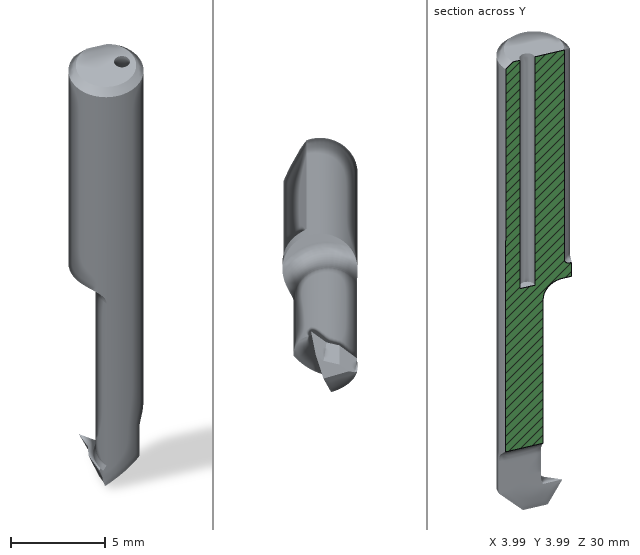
import cadquery as cq
import math

length = 30.0
shank_radius = 1.995
top_chamfer = 0.4

flat_distance = 1.5
flat_bottom_z = 16.0
flat_end_fillet = 0.25
flat_angle = 135.0

hole_radius = 0.42
hole_x = 0.63
hole_y = 0.63

shoulder_z = 15.05
neck_radius = 1.83
neck_left_x = -0.4
neck_x = neck_left_x + neck_radius
shoulder_fillet = 1.02
collar_flare = 0.12
collar_top_z = 1.8

relief_start_z = 5.7
relief_y = 1.77
relief_fillet = 0.9

tip_top_z = 1.4
tip_back_top_x = 0.57
tip_back_bottom_x = 0.93
tip_top_flank = [(-1.62, 0), (-0.78, -0.6), (-0.42, -1.2), (tip_back_top_x, -1.9)]
tip_bottom_flank = [(-0.78, 0), (-0.33, -0.3), (0.12, -1.05), (tip_back_bottom_x, -1.62)]

bevel_bottom_x = 0.63
bevel_top_z = 1.45


def shank_cylinder():
    """Full-length bar with the chamfered upper end."""
    bar = cq.Workplane("XY").circle(shank_radius).extrude(length)
    return bar.faces(">Z").chamfer(top_chamfer)


def neck_envelope():
    """Round neck, flaring up into the shoulder and down into the tip collar."""
    shoulder_radius = neck_radius + shoulder_fillet
    arc_offset = shoulder_fillet * (1 - math.sqrt(0.5))
    profile = (
        cq.Workplane("XZ")
        .moveTo(0, 0)
        .lineTo(neck_radius + collar_flare, 0)
        .lineTo(neck_radius + collar_flare, tip_top_z)
        .lineTo(neck_radius, collar_top_z)
        .lineTo(neck_radius, shoulder_z - shoulder_fillet)
        .threePointArc(
            (neck_radius + arc_offset, shoulder_z - arc_offset),
            (shoulder_radius, shoulder_z),
        )
        .lineTo(0, shoulder_z)
        .close()
    )
    return profile.revolve(360, (0, 0), (0, 1)).translate((neck_x, 0, 0))


def shank_above_shoulder():
    """Region in which the bar keeps its full section."""
    width = 2 * shank_radius
    return (
        cq.Workplane("XY").workplane(offset=shoulder_z)
        .rect(width, width).extrude(length - shoulder_z)
    )


def flat_cutter():
    """Block outside the clamping flat."""
    block = cq.Workplane("XY").box(
        shank_radius, 2 * shank_radius, length - flat_bottom_z, centered=(False, True, False)
    )
    block = block.faces("<Z").edges("<X").fillet(flat_end_fillet)
    return block.translate((flat_distance, 0, flat_bottom_z)).rotate((0, 0, 0), (0, 0, 1), flat_angle)


def hole_cutter():
    """Coolant hole from the upper end, as deep as the full section of the shank."""
    return (
        cq.Workplane("XY").workplane(offset=shoulder_z)
        .center(hole_x, hole_y).circle(hole_radius).extrude(length - shoulder_z)
    )


def relief_cutter():
    """Everything on the +Y side below the 45 degree relief slope."""
    outer_y = 2 * shank_radius
    width = 4 * shank_radius
    cutter = (
        cq.Workplane("YZ").workplane(offset=-width / 2)
        .polyline([
            (0, 0),
            (outer_y, 0),
            (outer_y, relief_start_z + outer_y - relief_y),
            (0, relief_start_z - relief_y),
        ])
        .close().extrude(width)
    )
    corner = cq.selectors.NearestToPointSelector((0, 0, relief_start_z - relief_y))
    return cutter.edges(corner).fillet(relief_fillet)


def bevel_cutter():
    """Wedge that bevels the lower +X corner of shank and tip."""
    width = 4 * shank_radius
    return (
        cq.Workplane("XZ").workplane(offset=-width / 2)
        .polyline([(bevel_bottom_x, 0), (shank_radius, bevel_top_z), (shank_radius, 0)])
        .close().extrude(width)
    )


def tip_seat_cutter():
    """Seat under the neck, ending at the sloping back face of the tip."""
    width = 4 * shank_radius
    return (
        cq.Workplane("XZ").workplane(offset=-width / 2)
        .polyline([
            (-width, 0),
            (tip_back_bottom_x, 0),
            (tip_back_top_x, tip_top_z),
            (-width, tip_top_z),
        ])
        .close().extrude(width)
    )


def make_shank():
    """Clamping shank with its slender neck."""
    envelope = shank_above_shoulder().union(neck_envelope())
    body = shank_cylinder().intersect(envelope)
    for cutter in (flat_cutter(), hole_cutter(), relief_cutter(), bevel_cutter(), tip_seat_cutter()):
        body = body.cut(cutter)
    return body


def make_tip():
    """Cutting tip with faceted flanks that lean in towards the bottom."""
    bottom = tip_bottom_flank + [(tip_back_bottom_x, 0)]
    top = tip_top_flank + [(tip_back_top_x, 0)]
    blank = (
        cq.Workplane("XY").polyline(bottom).close()
        .workplane(offset=tip_top_z).polyline(top).close()
        .loft(ruled=True)
    )
    return blank.cut(bevel_cutter())


shank = make_shank()
tip = make_tip()
result = cq.Compound.makeCompound([shank.val(), tip.val()])